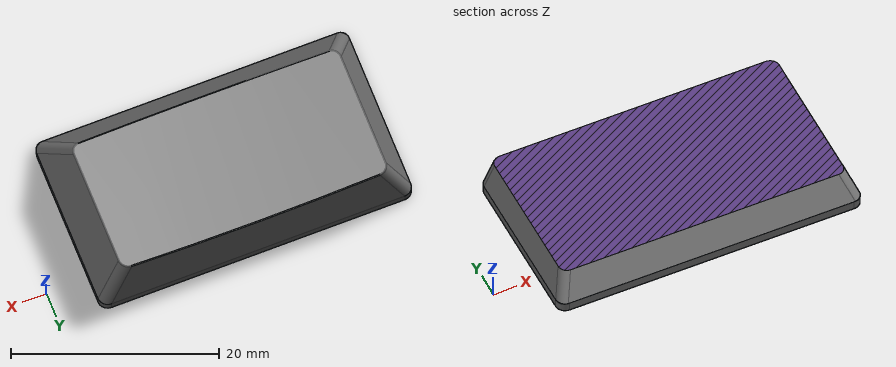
import cadquery as cq

length = 32.29
width = 18.0
height = 7.5

skirt_height = 1.0
corner_radius = 1.0

end_lean = 2.35
front_lean = 3.77
back_lean = 0.6

dish_depth = 0.5
rim_radius = 0.1

half_length = length / 2
half_width = width / 2
top_half_length = half_length - end_lean
dish_radius = (top_half_length**2 + dish_depth**2) / (2 * dish_depth)


def make_skirt():
    """Upright band with rounded corners."""
    return (
        cq.Workplane("XY")
        .box(length, width, skirt_height, centered=(True, True, False))
        .edges("|Z")
        .fillet(corner_radius)
    )


def make_leaning_walls():
    """Tapered block above the skirt, the overlap of its two side outlines, with rounded corners."""
    end_outline = [
        (-half_length, skirt_height),
        (half_length, skirt_height),
        (top_half_length, height),
        (-top_half_length, height),
    ]
    side_outline = [
        (-half_width, skirt_height),
        (half_width, skirt_height),
        (half_width - back_lean, height),
        (-half_width + front_lean, height),
    ]
    across_width = cq.Workplane("XZ").polyline(end_outline).close().extrude(half_width, both=True)
    along_length = cq.Workplane("YZ").polyline(side_outline).close().extrude(half_length, both=True)
    block = across_width.intersect(along_length)
    return block.edges("not(|X or |Y)").fillet(corner_radius)


def cut_dish(body):
    """Hollow the top with a cylinder whose axis runs along Y."""
    dish = (
        cq.Workplane("XZ")
        .center(0, height - dish_depth + dish_radius)
        .circle(dish_radius)
        .extrude(width, both=True)
    )
    return body.cut(dish)


def round_rim(body):
    """Soften the edge around the dished top."""
    return body.faces(">Z").edges().fillet(rim_radius)


dished_top = round_rim(cut_dish(make_leaning_walls()))
result = make_skirt().union(dished_top)